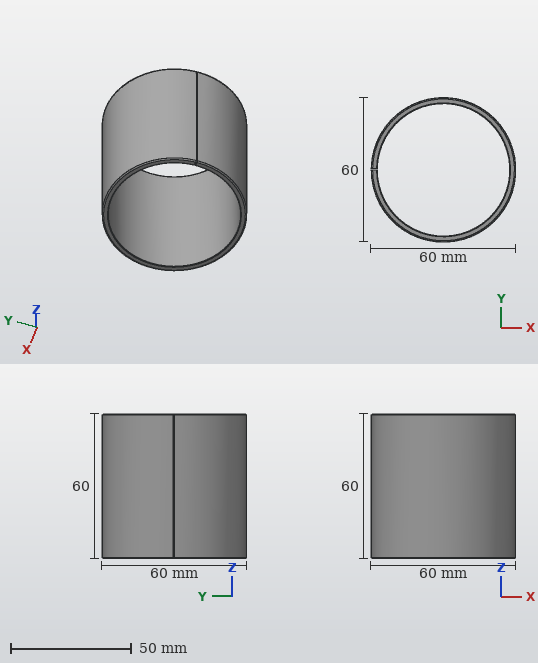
import cadquery as cq

outer_diameter = 60.0
length = 60.0
wall = 2.5
outer_chamfer_width = 0.6
outer_chamfer_height = 0.5
inner_chamfer = 0.3
gap_angle = 1.0

outer_radius = outer_diameter / 2
inner_radius = outer_radius - wall
end_face_outer_radius = outer_radius - outer_chamfer_width
end_face_inner_radius = inner_radius + inner_chamfer

wall_profile = (
    cq.Workplane("XZ")
    .moveTo(-end_face_inner_radius, 0)
    .lineTo(-end_face_outer_radius, 0)
    .lineTo(-outer_radius, outer_chamfer_height)
    .lineTo(-outer_radius, length - outer_chamfer_height)
    .lineTo(-end_face_outer_radius, length)
    .lineTo(-end_face_inner_radius, length)
    .lineTo(-inner_radius, length - inner_chamfer)
    .lineTo(-inner_radius, inner_chamfer)
    .close()
)

result = wall_profile.revolve(360 - gap_angle, (0, 0, 0), (0, 1, 0))